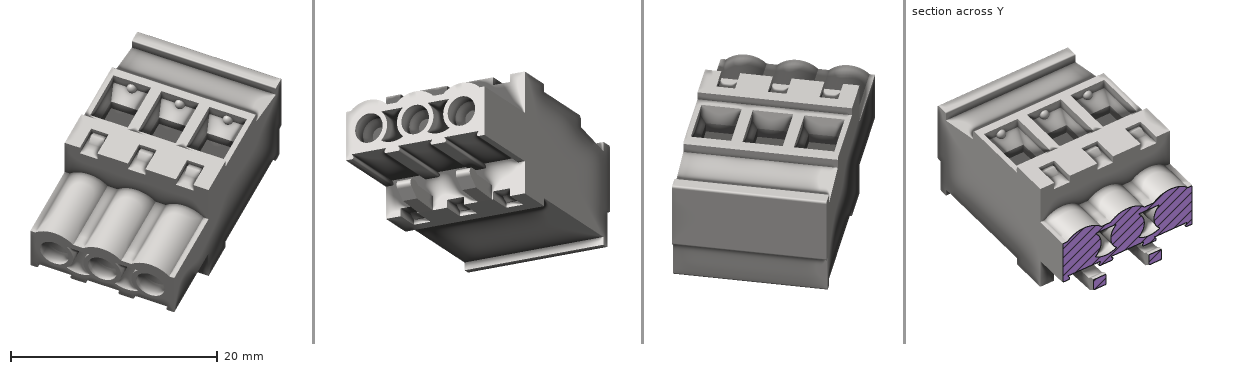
import cadquery as cq
import math


width = 15.24
length = 26.0
height = 12.6

pole_count = 3
pole_pitch = width / pole_count
pole_centres = [(i - (pole_count - 1) / 2) * pole_pitch for i in range(pole_count)]
gap_centres = [x + pole_pitch / 2 for x in pole_centres[:-1]]

plug_length = 8.32
collar_length = 4.03
collar_step = 0.8
collar_back = plug_length + collar_length
deck_height = height - collar_step
deck_back = 19.92
ramp_top_height = 10.65
ramp_bottom_height = 9.7
lip_height = 10.65
lip_front = 24.57
rear_step_height = 3.77
rear_foot_back = length - 0.52
rear_round = 0.23
lip_front_round = 0.13
deck_chamfer = 0.2

socket_height = 6.25
plug_bottom = 3.33
plug_shoulder = 8.35
lobe_radius = 2.9
socket_radius = 1.5
socket_depth = 1.6
cone_end_radius = 0.8
cone_depth = socket_radius - cone_end_radius

opening_side_radius = 2.0
opening_top = 7.72
opening_corner_bottom = 4.73
opening_bottom = 4.4

foot_height = 0.52
foot_neck = 1.3
foot_width = 1.66
foot_wide_height = 0.25
foot_round = 0.15

pocket_width = 3.98
pocket_floor_width = 2.95
pocket_front = 13.23
pocket_floor_front = 13.68
pocket_back = 18.85
pocket_floor_back = 17.1
pocket_rim_depth = 1.05
pocket_taper_depth = 0.75
pocket_floor_depth = 2.75
ball_radius = 0.52
ball_depth = 0.95

slot_width = 1.85
slot_length = 2.7
slot_depth = collar_step
ridge_width = 1.4
ridge_front = 9.85
ridge_peak = 10.58
ridge_height = 0.45
ridge_back_height = 0.3

latch_width = 1.53
latch_offset = 3.25
latch_root_height = 1.48
latch_heel = (5.05, 0.15)
latch_nose = 3.72
latch_top = 1.92
latch_top_back = 4.8
latch_throat = (5.28, 1.59)
latch_nose_round = 0.5


def across(points, x_centre, x_width):
    """Extrude a closed (Y, Z) outline along X, centred on x_centre."""
    prism = cq.Workplane("YZ").polyline(points).close().extrude(x_width)
    return prism.translate((x_centre - x_width / 2, 0, 0))


def backward(outline, y_length):
    """Extrude an outline drawn on XZ from Y = 0 towards +Y."""
    return outline.extrude(-y_length)


def edge_at(y, z):
    """Selector for the edge along X whose middle is at the given (Y, Z)."""
    return cq.selectors.NearestToPointSelector((0, y, z))


def round_edges(body, points, radius):
    """Fillet the edges along X that pass through the given (Y, Z) points."""
    for y, z in points:
        body = body.edges(edge_at(y, z)).fillet(radius)
    return body


def make_housing():
    profile = [
        (plug_length, 0),
        (collar_back, 0),
        (collar_back, collar_step),
        (lip_front, collar_step),
        (lip_front, 0),
        (rear_foot_back, 0),
        (rear_foot_back, rear_step_height),
        (length, rear_step_height),
        (length, lip_height),
        (lip_front, lip_height),
        (lip_front, ramp_bottom_height),
        (deck_back, ramp_top_height),
        (deck_back, deck_height),
        (collar_back, deck_height),
        (collar_back, height),
        (plug_length, height),
    ]
    body = across(profile, 0, width)
    rear_corners = [(rear_foot_back, 0), (length, rear_step_height), (length, lip_height)]
    body = round_edges(body, rear_corners, rear_round)
    body = round_edges(body, [(lip_front, lip_height)], lip_front_round)
    deck_edge = edge_at(deck_back, deck_height)
    return body.edges(deck_edge).chamfer(deck_chamfer)


def make_plug():
    block_height = plug_shoulder - plug_bottom
    block = cq.Workplane("XY").box(width, plug_length, block_height, centered=(True, False, False))
    plug = block.translate((0, 0, plug_bottom))
    for x in pole_centres:
        lobe = backward(cq.Workplane("XZ").center(x, socket_height).circle(lobe_radius), plug_length)
        lobe_limit = cq.Workplane("XY").box(
            pole_pitch, plug_length, lobe_radius, centered=(True, False, False)
        )
        plug = plug.union(lobe.intersect(lobe_limit.translate((x, 0, socket_height))))
    return plug


def make_socket(x):
    """Round socket narrowing to a flat floor through a cone."""
    profile = [
        (0, 0),
        (socket_radius, 0),
        (socket_radius, socket_depth),
        (cone_end_radius, socket_depth + cone_depth),
        (0, socket_depth + cone_depth),
    ]
    socket = cq.Workplane("XY").polyline(profile).close().revolve(360, (0, 0, 0), (0, 1, 0))
    return socket.translate((x, 0, socket_height))


def make_opening(x):
    """Opening between two sockets, with sides concentric with those sockets."""
    def side_offset(z):
        return pole_pitch / 2 - math.sqrt(opening_side_radius**2 - (z - socket_height) ** 2)

    top = side_offset(opening_top)
    waist = side_offset(socket_height)
    bottom = side_offset(opening_corner_bottom)
    outline = (
        cq.Workplane("XZ")
        .moveTo(x - top, opening_top)
        .lineTo(x + top, opening_top)
        .threePointArc((x + waist, socket_height), (x + bottom, opening_corner_bottom))
        .threePointArc((x, opening_bottom), (x - bottom, opening_corner_bottom))
        .threePointArc((x - waist, socket_height), (x - top, opening_top))
        .close()
    )
    return backward(outline, plug_length)


def make_foot_channels():
    """Space under the plug: a full-width slab less the undercut feet."""
    channel_top = plug_bottom + foot_height
    slab = cq.Workplane("XY").box(width, plug_length, foot_height, centered=(True, False, False))
    slab = slab.translate((0, 0, plug_bottom))
    for i in range(pole_count + 1):
        x = i * pole_pitch - width / 2
        outline = cq.Workplane("XZ").polyline(
            [
                (x - foot_neck / 2, channel_top),
                (x + foot_neck / 2, channel_top),
                (x + foot_width / 2, plug_bottom + foot_wide_height),
                (x + foot_width / 2, plug_bottom),
                (x - foot_width / 2, plug_bottom),
                (x - foot_width / 2, plug_bottom + foot_wide_height),
            ]
        )
        foot = backward(outline.close(), plug_length)
        slab = slab.cut(foot.edges("|Y and <Z").fillet(foot_round))
    return slab


def make_wire_pocket(x):
    """Funnel pocket: the shared space of its lengthwise and crosswise sections."""
    rim = deck_height - pocket_rim_depth
    throat = rim - pocket_taper_depth
    floor = deck_height - pocket_floor_depth
    lengthwise = [
        (pocket_front, deck_height),
        (pocket_back, deck_height),
        (pocket_back, rim),
        (pocket_floor_back, throat),
        (pocket_floor_back, floor),
        (pocket_floor_front, floor),
        (pocket_floor_front, throat),
    ]
    right_side = [
        (pocket_width / 2, deck_height),
        (pocket_width / 2, rim),
        (pocket_floor_width / 2, throat),
        (pocket_floor_width / 2, floor),
    ]
    left_side = [(-px, pz) for px, pz in reversed(right_side)]
    crosswise = backward(cq.Workplane("XZ").polyline(right_side + left_side).close(), length)
    pocket = across(lengthwise, 0, pocket_width).intersect(crosswise)
    ball = cq.Workplane("XY").sphere(ball_radius)
    ball = ball.translate((0, pocket_back, deck_height - ball_depth))
    return pocket.cut(ball).translate((x, 0, 0))


def make_keying_slot(x):
    """Slot in the collar top, open to the front, less the ridge standing on its floor."""
    floor = height - slot_depth
    slot_back = plug_length + slot_length
    slot = cq.Workplane("XY").box(slot_width, slot_length, slot_depth, centered=(True, False, False))
    slot = slot.translate((x, plug_length, floor))
    ridge = across(
        [
            (ridge_front, floor),
            (ridge_peak, floor + ridge_height),
            (slot_back, floor + ridge_back_height),
            (slot_back, floor),
        ],
        x,
        ridge_width,
    )
    return slot.cut(ridge)


def make_latch(x):
    """Hook whose round nose runs smoothly from its flat top into the sloped lead-in."""
    nose_y = latch_nose + latch_nose_round
    nose_z = latch_top - latch_nose_round
    heel_dy = latch_heel[0] - nose_y
    heel_dz = latch_heel[1] - nose_z
    to_tangent = math.acos(latch_nose_round / math.hypot(heel_dy, heel_dz))
    tangent_angle = math.atan2(heel_dz, heel_dy) - to_tangent
    lead_in_end = (
        nose_y + latch_nose_round * math.cos(tangent_angle),
        nose_z + latch_nose_round * math.sin(tangent_angle),
    )
    outline = (
        cq.Workplane("YZ")
        .moveTo(plug_length, 0)
        .lineTo(*latch_heel)
        .lineTo(*lead_in_end)
        .threePointArc((latch_nose, nose_z), (nose_y, latch_top))
        .lineTo(latch_top_back, latch_top)
        .lineTo(*latch_throat)
        .lineTo(plug_length, latch_root_height)
        .close()
    )
    return outline.extrude(latch_width).translate((x - latch_width / 2, 0, 0))


result = make_housing().union(make_plug()).cut(make_foot_channels())

for pole_x in pole_centres:
    top_slot = make_keying_slot(pole_x)
    bottom_slot = top_slot.mirror("XY", (0, 0, height / 2))
    result = result.cut(make_socket(pole_x)).cut(make_wire_pocket(pole_x))
    result = result.cut(top_slot).cut(bottom_slot)

for gap_x in gap_centres:
    result = result.cut(make_opening(gap_x))

for latch_x in (-latch_offset, latch_offset):
    result = result.union(make_latch(latch_x))